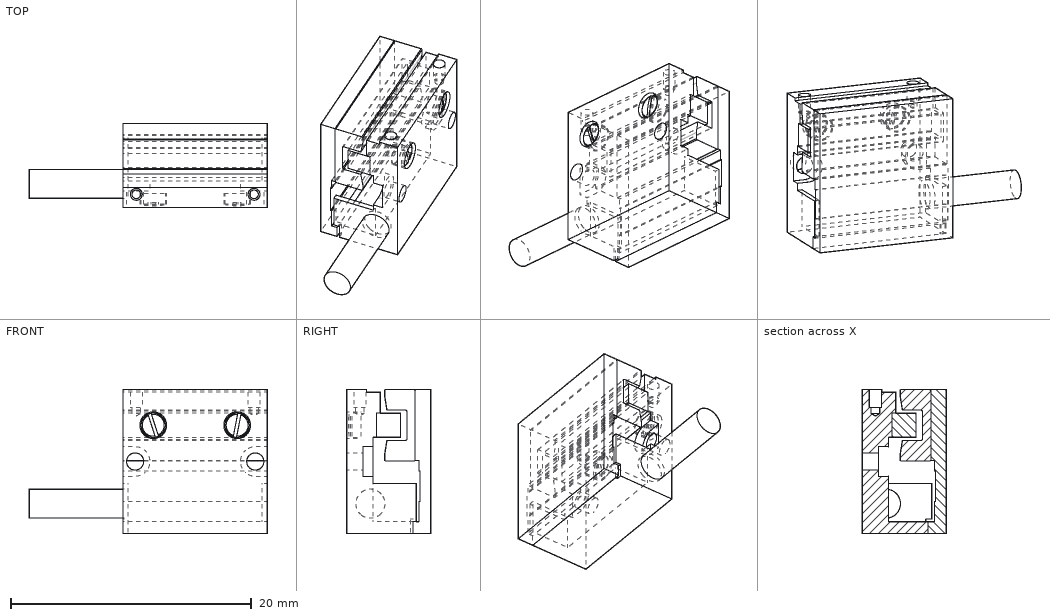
import cadquery as cq
import math

block_length = 12.0
block_depth = 7.0
block_height = 12.0
overall_length = 19.8

bar_size = 2.0
bar_front_y = 2.5
bar_center_z = 9.0
bar_bottom_z = bar_center_z - bar_size / 2
bar_top_z = bar_center_z + bar_size / 2

cable_radius = 1.2
cable_y = 1.98
cable_z = 2.5
cable_stub = overall_length - block_length

cover_seat_y = 5.7
cover_wall_y = 6.0
cover_groove_y = 6.1
cover_groove_bottom_z = 2.7
cover_groove_top_z = 5.2
cover_step_z = 6.08
lip_front_y = 5.5
lip_top_z = 1.0

rail_bottom_z = 6.02
rail_front_y = 3.17
rail_groove_y = 5.0
rail_groove_width = 2.51
rail_mouth_y = 3.35
rail_flat = 0.65
rail_edge = 0.08

plate_upper_y = 2.81
plate_lower_y = 2.2
ledge_z = 4.18
ledge_back_y = 5.8
rebate_y = 1.66
rebate_z = 11.76
end_wall = 0.44
notch_front_y = 5.3
notch_top_z = 1.2

mount_inset = 1.0
mount_radius = 0.71
mount_z = block_height / 2
recess_radius = 1.23
recess_floor_y = 1.37

tap_inset = 1.1
tap_y = 1.1
tap_radius = 0.5
tap_depth = 1.5
pilot_radius = 0.35
pilot_depth = 2.0
drill_point_angle = 118.0
point_height = pilot_radius / math.tan(math.radians(drill_point_angle / 2))

screw_inset = 2.51
screw_radius = 1.0
screw_edge = 0.1
screw_top_y = 0.14
dome_rise = 0.08
slot_width = 0.28
slot_depth = 0.3
counterbore_radius = 1.1
counterbore_depth = 1.19
slot_angle_by_x = {screw_inset: -18.0, block_length - screw_inset: 11.0}


def mirrored(inset):
    """Two X places at the same distance from either end of the block."""
    return (inset, block_length - inset)


def prism(outline):
    """Extrude a (Y, Z) outline along the full block length."""
    return cq.Workplane("YZ").polyline(outline).close().extrude(block_length)


def box_between(x_span, y_span, z_span):
    """Box given by its low and high limits on each axis."""
    spans = (x_span, y_span, z_span)
    sizes = [high - low for low, high in spans]
    corner = [low for low, high in spans]
    return cq.Workplane("XY").box(*sizes, centered=False).translate(tuple(corner))


def cylinder_along_y(x, z, radius, start_y, end_y):
    """Cylinder with its axis along Y."""
    axis = cq.Vector(0, 1, 0)
    base = cq.Vector(x, start_y, z)
    return cq.Workplane(cq.Solid.makeCylinder(radius, end_y - start_y, base, axis))


def make_cable():
    """Round cable that ends at the inner side of the end wall."""
    section = cq.Workplane("YZ", origin=(-cable_stub, 0, 0)).center(cable_y, cable_z)
    return section.circle(cable_radius).extrude(cable_stub + end_wall)


def make_bar():
    """Square bar that runs in the rail groove."""
    return box_between(
        (0, block_length),
        (bar_front_y, bar_front_y + bar_size),
        (bar_bottom_z, bar_top_z),
    )


def make_cover():
    """Back cover with the rail seat on top and a lip along the bottom."""
    return prism([
        (block_depth, 0),
        (block_depth, block_height),
        (cover_seat_y, block_height),
        (cover_seat_y, cover_step_z),
        (cover_wall_y, cover_step_z),
        (cover_wall_y, cover_groove_top_z),
        (cover_groove_y, cover_groove_top_z),
        (cover_groove_y, cover_groove_bottom_z),
        (cover_wall_y, cover_groove_bottom_z),
        (cover_wall_y, lip_top_z),
        (lip_front_y, lip_top_z),
        (lip_front_y, 0),
    ])


def make_rail():
    """C-shaped guide rail whose groove mouth flares toward the front."""
    groove_bottom_z = bar_center_z - rail_groove_width / 2
    groove_top_z = bar_center_z + rail_groove_width / 2
    body = box_between(
        (0, block_length), (rail_front_y, cover_seat_y), (rail_bottom_z, block_height)
    )
    body = body.edges("|X").chamfer(rail_edge)
    groove = box_between(
        (0, block_length), (rail_front_y, rail_groove_y), (groove_bottom_z, groove_top_z)
    )
    groove = groove.edges("|X and >Y").chamfer(rail_edge)
    flare = prism([
        (rail_front_y, rail_bottom_z + rail_flat),
        (rail_mouth_y, groove_bottom_z),
        (rail_mouth_y, groove_top_z),
        (rail_front_y, block_height - rail_flat),
    ])
    return body.cut(groove).cut(flare)


def housing_profile():
    """Front plate with the bar seat, and the lower block behind it."""
    return prism([
        (0, 0),
        (0, block_height),
        (rebate_y, block_height),
        (rebate_y, rebate_z),
        (plate_upper_y, rebate_z),
        (plate_upper_y, bar_top_z),
        (bar_front_y, bar_top_z),
        (bar_front_y, bar_bottom_z),
        (plate_lower_y, bar_bottom_z),
        (plate_lower_y, ledge_z),
        (ledge_back_y, ledge_z),
        (ledge_back_y, lip_top_z),
        (lip_front_y, lip_top_z),
        (lip_front_y, 0),
    ])


def make_pocket():
    """Space between the end walls, open at the top and at the back."""
    return box_between(
        (end_wall, block_length - end_wall),
        (plate_lower_y, ledge_back_y),
        (lip_top_z, ledge_z),
    )


def make_lip_notch():
    """Clearance around the cover lip in the cable-side end wall."""
    return box_between((0, end_wall), (notch_front_y, ledge_back_y), (0, notch_top_z))


def make_mount_hole(x):
    """Through hole with a round-ended recess that runs out at the nearer end of the block."""
    hole = cylinder_along_y(x, mount_z, mount_radius, 0, plate_lower_y)
    recess = cylinder_along_y(x, mount_z, recess_radius, recess_floor_y, plate_lower_y)
    run_out = box_between(
        (0, x) if x < block_length / 2 else (x, block_length),
        (recess_floor_y, plate_lower_y),
        (mount_z - recess_radius, mount_z + recess_radius),
    )
    return hole.union(recess).union(run_out)


def make_tapped_hole(x):
    """Tapped hole from the top face, with a smaller drilled end and a conical point."""
    half_section = [
        (0, 0),
        (tap_radius, 0),
        (tap_radius, -tap_depth),
        (pilot_radius, -tap_depth),
        (pilot_radius, -pilot_depth),
        (0, -pilot_depth - point_height),
    ]
    hole = cq.Workplane("XZ").polyline(half_section).close().revolve(360, (0, 0), (0, 1))
    return hole.translate((x, tap_y, block_height))


def make_housing(cable):
    """Housing with all its holes, bored to fit the cable."""
    housing = housing_profile().cut(make_pocket()).cut(make_lip_notch())
    for x in mirrored(mount_inset):
        housing = housing.cut(make_mount_hole(x))
    for x in mirrored(tap_inset):
        housing = housing.cut(make_tapped_hole(x))
    for x in mirrored(screw_inset):
        housing = housing.cut(
            cylinder_along_y(x, bar_center_z, counterbore_radius, 0, counterbore_depth)
        )
    return housing.cut(cable)


def make_screw(x, slot_angle):
    """Domed screw head with a bevelled rim and a slot, resting on its counterbore floor."""
    rim_y = screw_top_y + dome_rise
    dome_edge = screw_radius - screw_edge
    dome_radius = (dome_edge**2 + dome_rise**2) / (2 * dome_rise)
    half_edge = dome_edge / 2
    mid_y = screw_top_y + dome_radius - math.sqrt(dome_radius**2 - half_edge**2)
    head = (
        cq.Workplane("XY")
        .moveTo(0, counterbore_depth)
        .lineTo(0, screw_top_y)
        .threePointArc((half_edge, mid_y), (dome_edge, rim_y))
        .lineTo(screw_radius, rim_y + screw_edge)
        .lineTo(screw_radius, counterbore_depth)
        .close()
        .revolve(360, (0, 0), (0, 1))
    )
    slot = box_between(
        (-slot_width / 2, slot_width / 2),
        (screw_top_y, screw_top_y + slot_depth),
        (-screw_radius, screw_radius),
    )
    slot = slot.rotate((0, 0, 0), (0, 1, 0), slot_angle)
    return head.cut(slot).translate((x, 0, bar_center_z))


cable = make_cable()
bar = make_bar()
cover = make_cover()
rail = make_rail()
housing = make_housing(cable)
screws = [make_screw(x, angle) for x, angle in slot_angle_by_x.items()]

result = cq.Compound.makeCompound([
    housing.val(),
    cover.val(),
    rail.val(),
    bar.val(),
    cable.val(),
    *[screw.val() for screw in screws],
])